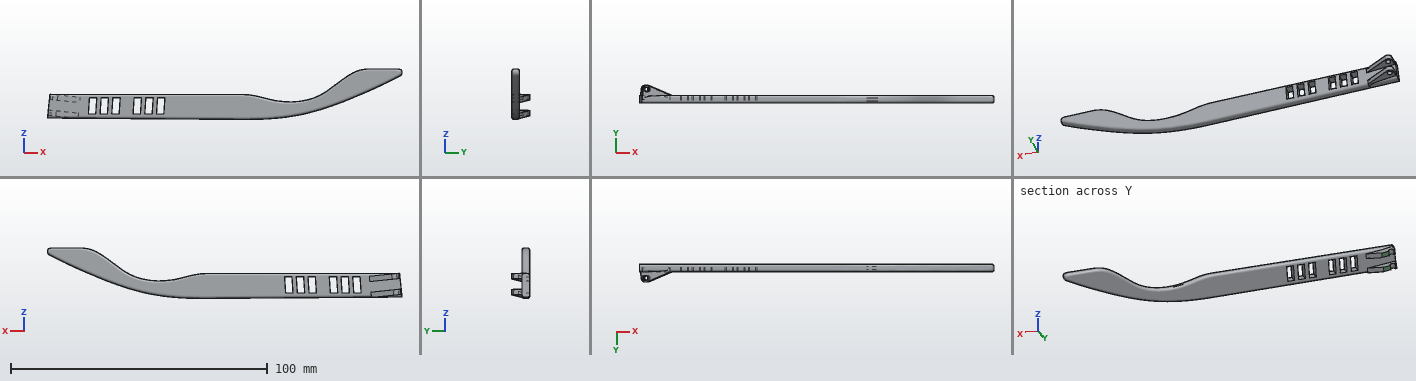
import cadquery as cq
import math

length = 138.2
height = 19.8
thickness = 3.0
edge_radius = 1.0

strap_top = 9.8
heel_z = 0.5
end_lean = 1.0
straight_end_x = 76.0
end_tilt = math.degrees(math.atan2(end_lean, strap_top - heel_z))

waist = [(87.1, 7.7), (94.7, 6.9)]
grip_rise = [(106.3, 9.5), (113.0, 14.1), (117.9, 17.5)]
grip_flat_start_x = 125.7
grip_flat_end_x = 135.5
tip = (length, 18.4)
tip_underside = (136.2, 16.3)
tip_slope = (-1, -0.53)
underside = [(124.5, 10.8), (114.6, 6.6), (97.9, 1.7), (89.6, 0.48)]

window_width = 2.8
window_bottom = 2.2
window_top = 8.5
window_lean = 0.4
window_pitch = 4.5
windows_per_group = 3
group_starts = [16.0, 33.5]

lug_thickness = 2.1
lug_levels = [1.1, 7.3]
lug_reach = 7.0
eye_radius = 1.7
pin_diameter = 2.0
eye_x = 2.2
eye_y = lug_reach - eye_radius
lug_front_x = 0.35
lug_back_x = 11.9
lug_root_y = thickness / 2


def tangent_point(corner, side):
    """Point where a line from corner touches the eye; side +1 or -1 picks which tangent."""
    dx = corner[0] - eye_x
    dy = corner[1] - eye_y
    spread = math.acos(eye_radius / math.hypot(dx, dy))
    angle = math.atan2(dy, dx) + side * spread
    return (eye_x + eye_radius * math.cos(angle), eye_y + eye_radius * math.sin(angle))


def make_arm():
    heel = (0, heel_z)
    belly = (straight_end_x, 0)
    arm = (
        cq.Workplane("XZ")
        .moveTo(*heel)
        .lineTo(end_lean, strap_top)
        .lineTo(straight_end_x, strap_top)
        .spline(
            [*waist, *grip_rise, (grip_flat_start_x, height)],
            tangents=[(1, 0), (1, 0)],
            includeCurrent=True,
        )
        .lineTo(grip_flat_end_x, height)
        .spline([tip], tangents=[(1, 0), (0, -1)], includeCurrent=True)
        .spline([tip_underside], tangents=[(0, -1), tip_slope], includeCurrent=True)
        .spline(
            [*underside, belly],
            tangents=[tip_slope, (-straight_end_x, heel_z)],
            includeCurrent=True,
        )
        .close()
        .extrude(-thickness)
    )
    margin = 1.4
    end_face = cq.selectors.BoxSelector(
        (-margin, -margin, -margin), (end_lean, thickness + margin, strap_top + margin)
    )
    long_edges = cq.selectors.InverseSelector(end_face)
    return arm.faces("<Y or >Y").edges(long_edges).fillet(edge_radius)


def make_window(left):
    return (
        cq.Workplane("XZ")
        .polyline([
            (left, window_bottom),
            (left + window_width, window_bottom),
            (left + window_width + window_lean, window_top),
            (left + window_lean, window_top),
        ])
        .close()
        .extrude(-thickness)
    )


def make_lug(level):
    front_foot = (lug_front_x, thickness)
    back_foot = (lug_back_x, thickness)
    lug = (
        cq.Workplane("XY", origin=(0, 0, level))
        .moveTo(lug_front_x, lug_root_y)
        .lineTo(*front_foot)
        .lineTo(*tangent_point(front_foot, -1))
        .threePointArc((eye_x, lug_reach), tangent_point(back_foot, 1))
        .lineTo(*back_foot)
        .lineTo(lug_back_x, lug_root_y)
        .close()
        .extrude(lug_thickness)
    )
    pin_hole = (
        cq.Workplane("XY", origin=(eye_x, eye_y, level))
        .circle(pin_diameter / 2)
        .extrude(lug_thickness)
    )
    lug = lug.cut(pin_hole)
    return lug.rotate((0, 0, 0), (0, 1, 0), end_tilt).translate((0, 0, heel_z))


result = make_arm()
for group_start in group_starts:
    for index in range(windows_per_group):
        result = result.cut(make_window(group_start + index * window_pitch))
for lug_level in lug_levels:
    result = result.union(make_lug(lug_level))